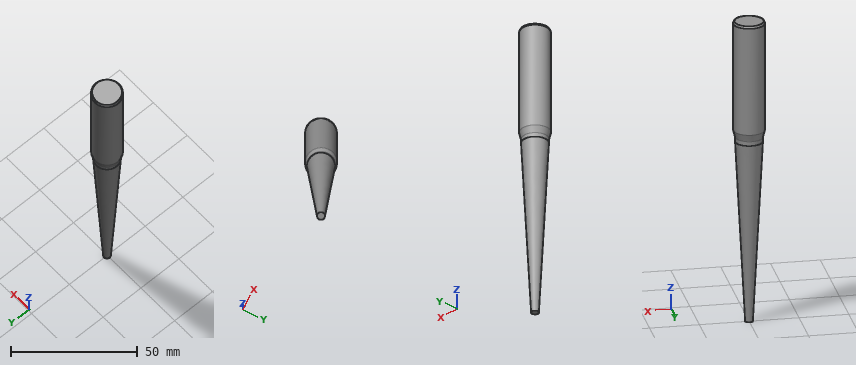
import cadquery as cq
import math

overall_length = 127.0
shank_radius = 6.4
top_chamfer = 0.9
top_chamfer_inset = 0.5

cutter_length = 76.2
tip_radius = 1.59
taper_angle = 3.0
neck_radius = tip_radius + cutter_length * math.tan(math.radians(taper_angle))

neck_length = 1.9
flare_length = 3.0
flare_start = cutter_length + neck_length
flare_end = flare_start + flare_length


def revolve_about_z(profile):
    """Turn a closed (radius, height) profile around the Z axis."""
    return profile.close().revolve(360, (0, 0, 0), (0, 1, 0))


def make_cutter():
    """Cone widening from the flat tip up to the neck."""
    profile = (
        cq.Workplane("XZ")
        .lineTo(tip_radius, 0)
        .lineTo(neck_radius, cutter_length)
        .lineTo(0, cutter_length)
    )
    return revolve_about_z(profile)


def make_shank():
    """Neck, conical flare and cylindrical shank with a chamfered top edge."""
    profile = (
        cq.Workplane("XZ")
        .moveTo(0, cutter_length)
        .lineTo(neck_radius, cutter_length)
        .lineTo(neck_radius, flare_start)
        .lineTo(shank_radius, flare_end)
        .lineTo(shank_radius, overall_length - top_chamfer)
        .lineTo(shank_radius - top_chamfer_inset, overall_length)
        .lineTo(0, overall_length)
    )
    return revolve_about_z(profile)


cutter = make_cutter()
shank = make_shank()

result = cq.Compound.makeCompound([cutter.val(), shank.val()])